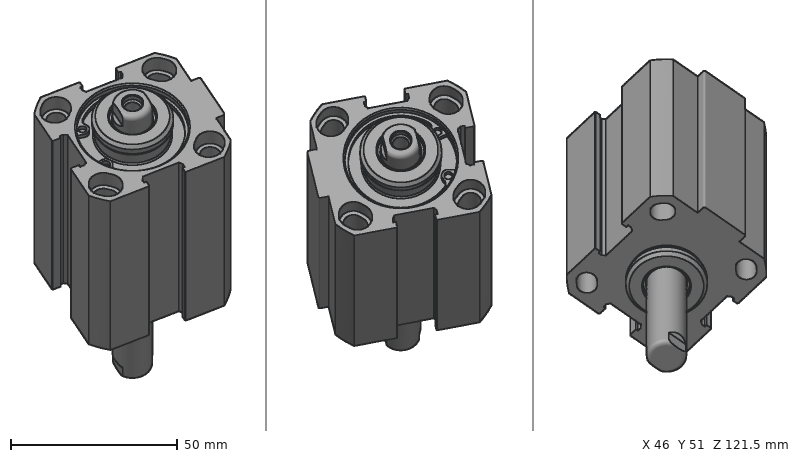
import cadquery as cq
import math

width = 46.0
depth = 48.0
housing_bottom = 41.3
housing_height = 69.0
housing_top = housing_bottom + housing_height
corner_circle_diameter = 60.0
ridge_width = 16.5
ridge_height = 3.0
ridge_fillet = 0.6

slot_mouth_half = 12.0 / 2
slot_inner_half = 6.8
slot_floor_half = 6.1
slot_inner_depth = 2.3
slot_bevel = 1.1
slot_mouth_bevel = 0.2
side_lip = 2.0
front_lip = 2.9

mount_x = 16.5
mount_y = 17.5
mount_diameter = 6.2
counterbore_diameter = 8.9
counterbore_depth = 5.7
mount_offset = 1.5

bore_diameter = 33.7
bore_rim_diameter = 34.6
ring_groove_diameter = 35.8
ring_drop = 2.2
ring_thickness = 1.5
gland_plate_thickness = 7.3
ring_top = housing_top - ring_drop
seat_top = ring_top - ring_thickness
seat_bottom = seat_top - gland_plate_thickness

ring_inner_diameter = 31.6
lug_x = 7.72
lug_y = 12.94
lug_radius = 2.1
lug_hole_diameter = 2.5
lug_lean = 15.0
lug_blend = 1.8

neck_diameter = 23.0
flange_diameter = 24.5
flange_gap = 0.6
flange_under_taper = 1.5
flange_band = 2.0
flange_chamfer = 1.1
flange_end = flange_gap + flange_under_taper + flange_band + flange_chamfer
neck_foot = 0.5
recess_rim_diameter = 14.8
recess_diameter = 14.0
recess_depth = 1.2
wiper_step_diameter = 12.5
wiper_step_depth = 2.0
lower_gland_depth = seat_top - seat_bottom

rod_diameter = 12.0
rod_length = 121.5
rod_end_fillet = 1.5
across_flats = 10.0
flat_length = 4.6
flat_cutter_margin = 1.2
socket_rim_diameter = 6.6
socket_diameter = 6.1
socket_depth = 2.0
drill_diameter = 4.9
drill_depth = 9.7
drill_point_angle = 150.0


def disc(diameter, bottom, height):
    """Upright cylinder on the Z axis."""
    return cq.Workplane("XY").workplane(offset=bottom).circle(diameter / 2).extrude(height)


def revolved(points):
    """Solid of revolution about Z from (radius, z) points."""
    return cq.Workplane("XZ").polyline(points).close().revolve(360, (0, 0, 0), (0, 1, 0))


def slot_cutter(lip):
    """T-slot that opens on the line y = 0 and runs inward along +Y."""
    inner_end = lip + slot_inner_depth
    right_half = [
        (slot_mouth_half + slot_mouth_bevel, 0),
        (slot_mouth_half, slot_mouth_bevel),
        (slot_mouth_half, lip),
        (slot_inner_half, lip),
        (slot_inner_half, inner_end - slot_bevel),
        (slot_floor_half, inner_end),
    ]
    left_half = [(-x, y) for x, y in reversed(right_half)]
    return cq.Workplane("XY").polyline(right_half + left_half).close().extrude(housing_height)


def profile_block():
    """Block with rounded corners, a ridge on its back and T-slots in the other sides."""
    block = cq.Workplane("XY").rect(width, depth).extrude(housing_height)
    block = block.intersect(disc(corner_circle_diameter, 0, housing_height))
    ridge = (
        cq.Workplane("XY")
        .rect(ridge_width, depth + 2 * ridge_height)
        .extrude(housing_height)
        .edges("|Z")
        .fillet(ridge_fillet)
    )
    back_half = cq.Workplane("XY").rect(width, depth).extrude(housing_height).translate((0, depth / 2, 0))
    block = block.union(ridge.intersect(back_half))
    block = block.cut(slot_cutter(front_lip).translate((0, -depth / 2, 0)))
    for turn in (90, -90):
        side = slot_cutter(side_lip).translate((0, -width / 2, 0))
        block = block.cut(side.rotate((0, 0, 0), (0, 0, 1), turn))
    return block.translate((0, 0, housing_bottom))


def mounting_slot(diameter, bottom, height):
    """Four upright slots, each square to the diagonal of its corner."""
    cutters = cq.Workplane("XY")
    for side_x in (-1, 1):
        for side_y in (-1, 1):
            cutters = cutters.add(
                cq.Workplane("XY", origin=(side_x * mount_x, side_y * mount_y, bottom))
                .slot2D(diameter + mount_offset, diameter, -45 * side_x * side_y)
                .extrude(height)
            )
    return cutters.combine()


def make_housing():
    """Profile with mounting holes, the upper gland seat, the ring groove and the rod passage."""
    body = profile_block()
    body = body.cut(mounting_slot(mount_diameter, housing_bottom, housing_height))
    body = body.cut(
        mounting_slot(counterbore_diameter, housing_top - counterbore_depth, counterbore_depth)
    )
    rim = (bore_rim_diameter - bore_diameter) / 2
    bore = revolved(
        [
            (0, seat_bottom),
            (bore_diameter / 2, seat_bottom),
            (bore_diameter / 2, housing_top - rim),
            (bore_rim_diameter / 2, housing_top),
            (0, housing_top),
        ]
    )
    body = body.cut(bore)
    body = body.cut(disc(ring_groove_diameter, seat_top, ring_thickness))
    body = body.cut(disc(neck_diameter, housing_bottom, lower_gland_depth))
    return body.cut(disc(rod_diameter, housing_bottom, housing_height))


def gland_head(base):
    """Collar from `base` up past z = 0, and the cutter for its rod passage and wiper recess."""
    neck = neck_diameter / 2
    flange = flange_diameter / 2
    under = flange_gap + flange_under_taper
    head = revolved(
        [
            (0, base),
            (neck, base),
            (neck, flange_gap),
            (flange, under),
            (flange, under + flange_band),
            (flange - flange_chamfer, flange_end),
            (0, flange_end),
        ]
    )
    rim = (recess_rim_diameter - recess_diameter) / 2
    passage = revolved(
        [
            (0, base),
            (rod_diameter / 2, base),
            (rod_diameter / 2, flange_end - wiper_step_depth),
            (wiper_step_diameter / 2, flange_end - wiper_step_depth),
            (wiper_step_diameter / 2, flange_end - recess_depth),
            (recess_diameter / 2, flange_end - recess_depth),
            (recess_diameter / 2, flange_end - rim),
            (recess_rim_diameter / 2, flange_end),
            (0, flange_end),
        ]
    )
    return head, passage


def make_upper_gland():
    """Collar on a plate that fills the bore below the retaining ring."""
    plate_top = seat_top - housing_top
    plate_bottom = seat_bottom - housing_top
    head, passage = gland_head(plate_bottom)
    plate = disc(bore_diameter, plate_bottom, gland_plate_thickness)
    foot = revolved(
        [
            (0, plate_top),
            (neck_diameter / 2 + neck_foot, plate_top),
            (neck_diameter / 2, plate_top + neck_foot),
            (0, plate_top + neck_foot),
        ]
    )
    gland = head.union(plate).union(foot).cut(passage)
    return gland.translate((0, 0, housing_top))


def make_lower_gland():
    """Plain bush with the same collar, pointing down."""
    head, passage = gland_head(-lower_gland_depth)
    gland = head.cut(passage).mirror("XY")
    return gland.translate((0, 0, housing_bottom))


def make_retaining_ring():
    """Open ring with two drilled lugs beside its gap."""
    groove = disc(ring_groove_diameter, 0, ring_thickness)
    ring = groove.cut(disc(ring_inner_diameter, 0, ring_thickness))
    reach = ring_groove_diameter / 2
    gap = (
        cq.Workplane("XY")
        .polyline([(0, 0), (-reach * lug_x / lug_y, -reach), (reach * lug_x / lug_y, -reach)])
        .close()
        .extrude(ring_thickness)
    )
    ring = ring.cut(gap)
    for side in (-1, 1):
        lug = (
            cq.Workplane("XY")
            .slot2D(2 * lug_radius + reach, 2 * lug_radius, 90)
            .extrude(ring_thickness)
            .translate((0, -reach / 2, 0))
            .rotate((0, 0, 0), (0, 0, 1), side * lug_lean)
            .translate((side * lug_x, -lug_y, 0))
        )
        hole = disc(lug_hole_diameter, 0, ring_thickness).translate((side * lug_x, -lug_y, 0))
        ring = ring.union(lug.intersect(groove)).cut(hole)
    ring = ring.edges(cq.selectors.BoxSelector((-11.5, -13.4, -1.2), (-9.1, -10.3, 3.6))).edges("|Z").fillet(lug_blend)
    ring = ring.edges(cq.selectors.BoxSelector((11.5, -13.4, -1.2), (9.1, -10.3, 3.6))).edges("|Z").fillet(lug_blend)
    return ring.translate((0, 0, seat_top))


def flat_cutter():
    """Removes the rod on both sides of the flats at its z = 0 end, with 45 degree run-outs."""
    half = across_flats / 2
    outer = rod_diameter / 2 + flat_cutter_margin
    cutter = cq.Workplane("XY")
    for side in (-1, 1):
        cutter = cutter.add(
            cq.Workplane("YZ")
            .polyline(
                [
                    (side * half, 0),
                    (side * half, flat_length),
                    (side * outer, flat_length + outer - half),
                    (side * outer, 0),
                ]
            )
            .close()
            .extrude(rod_diameter / 2, both=True)
        )
    return cutter.combine()


def make_rod():
    """Round rod with wrench flats at both ends and a drilled socket in its top."""
    rod = disc(rod_diameter, 0, rod_length).faces("<Z or >Z").edges().fillet(rod_end_fillet)
    bottom_flats = flat_cutter()
    top_flats = bottom_flats.mirror("XY").translate((0, 0, rod_length))
    rim = (socket_rim_diameter - socket_diameter) / 2
    step = (socket_diameter - drill_diameter) / 2
    point = drill_diameter / 2 / math.tan(math.radians(drill_point_angle / 2))
    socket = revolved(
        [
            (0, rod_length),
            (socket_rim_diameter / 2, rod_length),
            (socket_diameter / 2, rod_length - rim),
            (socket_diameter / 2, rod_length - socket_depth),
            (drill_diameter / 2, rod_length - socket_depth - step),
            (drill_diameter / 2, rod_length - drill_depth),
            (0, rod_length - drill_depth - point),
        ]
    )
    return rod.cut(bottom_flats).cut(top_flats).cut(socket)


housing = make_housing()
upper_gland = make_upper_gland()
lower_gland = make_lower_gland()
retaining_ring = make_retaining_ring()
rod = make_rod()

result = cq.Compound.makeCompound(
    [housing.val(), upper_gland.val(), lower_gland.val(), retaining_ring.val(), rod.val()]
)